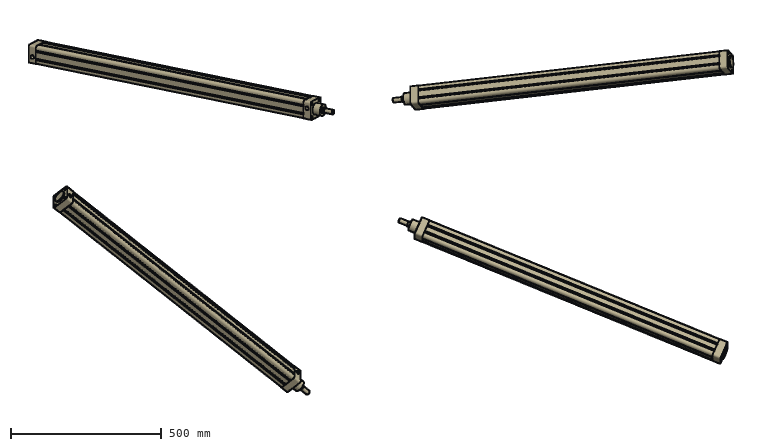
import cadquery as cq


overall_length = 1179.0
section_size = 65.0
spigot_length = 5.0
cover_length = 28.0
collar_length = 28.0
rod_extension = 38.0
thread_length = 32.0

cover_corner_radius = 7.0
spigot_diameter = 40.0
screw_spacing = 46.0
screw_hole_diameter = 7.0
screw_hole_depth = 17.0
port_diameter = 13.0
port_depth = 17.0
port_offset = 8.0

barrel_corner_radius = 10.0
z_side_groove_offset = 12.0
y_side_groove_offset = 14.0
groove_width = 5.0
groove_depth = 6.0

rod_diameter = 20.0
rod_chamfer = 1.0
flat_width = 17.0
flat_length = 6.0
thread_diameter = 17.0
thread_chamfer = 2.0

rear_cover_start = spigot_length
barrel_start = rear_cover_start + cover_length
thread_start = overall_length - thread_length
front_cover_end = thread_start - rod_extension
barrel_end = front_cover_end - cover_length
barrel_length = barrel_end - barrel_start
collar_end = front_cover_end + collar_length


def cross_section(x):
    """Workplane across the cylinder axis at x, with local x along Y and local y along Z."""
    return cq.Workplane("YZ", origin=(x, 0, 0))


def rounded_bar(start, length, corner_radius):
    """Square bar along X with rounded long edges."""
    bar = cross_section(start).rect(section_size, section_size).extrude(length)
    return bar.edges("|X").fillet(corner_radius)


def cylinder(start, length, diameter):
    return cross_section(start).circle(diameter / 2).extrude(length)


def screw_holes(start, depth):
    """Four round cutters on the corners of a square, running from start along X."""
    holes = cross_section(start).rect(screw_spacing, screw_spacing, forConstruction=True)
    return holes.vertices().circle(screw_hole_diameter / 2).extrude(depth)


def port(x, z):
    """Cutter for an air port that enters from the -Y side."""
    side = cq.Workplane("XZ", origin=(x, -section_size / 2, z))
    return side.circle(port_diameter / 2).extrude(-port_depth)


def make_rear_cover():
    block = rounded_bar(rear_cover_start, cover_length, cover_corner_radius)
    spigot = cylinder(0, spigot_length, spigot_diameter)
    holes = screw_holes(rear_cover_start, screw_hole_depth)
    air_port = port(barrel_start - cover_length / 2, -port_offset)
    return block.union(spigot).cut(holes).cut(air_port)


def make_front_cover():
    block = rounded_bar(barrel_end, cover_length, cover_corner_radius)
    collar = cylinder(front_cover_end, collar_length, spigot_diameter)
    rod_bore = cylinder(barrel_end, collar_end - barrel_end, rod_diameter)
    holes = screw_holes(front_cover_end, -screw_hole_depth)
    air_port = port(barrel_end + cover_length / 2, port_offset)
    return block.union(collar).cut(rod_bore).cut(holes).cut(air_port)


def groove_pair(offset):
    """Cutter for two straight grooves in the +Z side of the barrel, offset to each side of the middle."""
    return (
        cross_section(barrel_start)
        .pushPoints([(-offset, section_size / 2), (offset, section_size / 2)])
        .rect(groove_width, 2 * groove_depth)
        .extrude(barrel_length)
    )


def make_barrel():
    """Solid bar with two straight grooves along each of its four sides."""
    barrel = rounded_bar(barrel_start, barrel_length, barrel_corner_radius)
    z_side_grooves = groove_pair(z_side_groove_offset)
    y_side_grooves = groove_pair(y_side_groove_offset).rotate((0, 0, 0), (1, 0, 0), 90)
    for grooves in (z_side_grooves, y_side_grooves):
        opposite_grooves = grooves.rotate((0, 0, 0), (1, 0, 0), 180)
        barrel = barrel.cut(grooves).cut(opposite_grooves)
    return barrel


def make_piston_rod():
    """Round rod through the front cover, with a chamfered shoulder, wrench flats and a chamfered thread."""
    rod_length = thread_start - barrel_end
    rod = cylinder(barrel_end, rod_length, rod_diameter).faces(">X").chamfer(rod_chamfer)
    flat_start = thread_start - flat_length
    round_part = cylinder(barrel_end, flat_start - barrel_end, rod_diameter)
    flat_part = cross_section(flat_start).rect(flat_width, rod_diameter).extrude(flat_length)
    rod = rod.intersect(round_part.union(flat_part))
    thread = cylinder(thread_start, thread_length, thread_diameter)
    return rod.union(thread.faces(">X").chamfer(thread_chamfer))


rear_cover = make_rear_cover()
barrel = make_barrel()
front_cover = make_front_cover()
piston_rod = make_piston_rod()

result = cq.Compound.makeCompound(
    [rear_cover.val(), barrel.val(), front_cover.val(), piston_rod.val()]
)